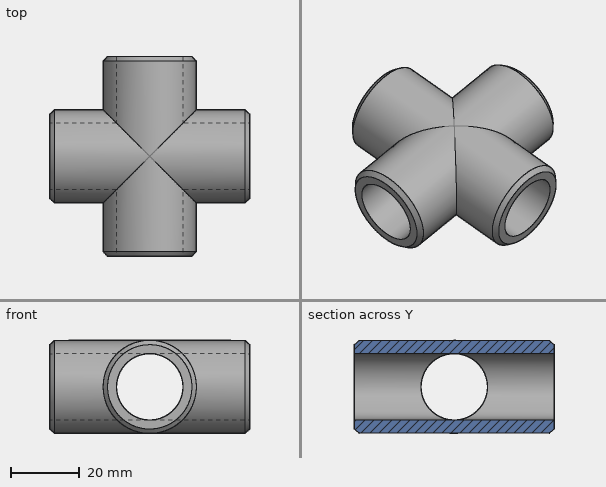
import cadquery as cq

length = 58.0
outer_diameter = 27.0
bore_diameter = 19.2
chamfer_length = 1.4
chamfer_depth = 1.3

outer_radius = outer_diameter / 2
mouth_radius = outer_radius - chamfer_depth
half_length = length / 2
shoulder = half_length - chamfer_length


def run_along_x():
    """Solid straight run along X with a bevelled rim at each end."""
    return (
        cq.Workplane("XY")
        .moveTo(-half_length, 0)
        .lineTo(-half_length, mouth_radius)
        .lineTo(-shoulder, outer_radius)
        .lineTo(shoulder, outer_radius)
        .lineTo(half_length, mouth_radius)
        .lineTo(half_length, 0)
        .close()
        .revolve(360, (0, 0, 0), (1, 0, 0))
    )


def bore_along_x():
    """Through bore of the run along X."""
    return cq.Workplane("YZ").circle(bore_diameter / 2).extrude(half_length, both=True)


def crossed(run):
    """Join a run along X with its copy along Y."""
    return run.union(run.rotate((0, 0, 0), (0, 0, 1), 90))


result = crossed(run_along_x()).cut(crossed(bore_along_x()))